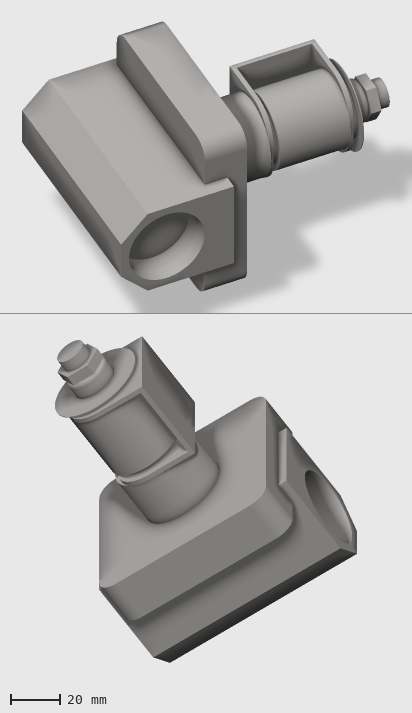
import cadquery as cq


block_length = 92.0
block_left = -44.9
block_height = 41.3
block_depth = 50.8
block_chamfer = 12.0
port_radius = 17.0
port_center_y = 20.5
port_depth = 14.0
flange_size = 82.0
flange_corner_radius = 8.0
flange_front = 40.7
flange_back = 59.7
neck_radius = 18.2
neck_end = 81.7

neck_gap = 0.4
bracket_start = neck_end + neck_gap
bracket_end = 120.2
bracket_thickness = 2.1
bracket_left = -21.4
bracket_right = 15.2
bracket_half_height = 19.7
bracket_corner_radius = bracket_right
coil_radius = 17.0
coil_start = 86.3
coil_end = bracket_end - bracket_thickness
collar_radius = 14.5
washer_radius = 19.7
washer_start = 122.4
washer_thickness = 0.4
boss_start = washer_start + washer_thickness
boss_radius = 9.5
boss_fillet = 2.3
nut_start = 130.8
nut_end = 135.5
nut_across_corners = 19.7
tip_radius = 6.3
tip_end = 140.8


def plane_at(y):
    """Plane facing +Y, with local x along X and local y along -Z."""
    return cq.Workplane("XZ", origin=(0, y, 0)).transformed(rotate=(180, 0, 0))


def disc(radius, start, end):
    return plane_at(start).circle(radius).extrude(end - start)


def make_block():
    block = cq.Workplane("XY").box(
        block_length, block_depth, block_height, centered=(False, False, True)
    ).translate((block_left, 0, 0))
    return block.faces("<Y").edges("|X").chamfer(block_chamfer)


def make_port(outer_x, direction):
    """Blind cylinder cut inward from one end of the block."""
    return cq.Workplane("YZ", origin=(outer_x, 0, 0)).center(port_center_y, 0).circle(
        port_radius
    ).extrude(direction * port_depth)


def make_flange():
    flange = plane_at(flange_front).rect(flange_size, flange_size).extrude(flange_back - flange_front)
    return flange.edges("|Y").fillet(flange_corner_radius)


def make_valve():
    valve = make_block().union(make_flange())
    valve = valve.union(disc(neck_radius, flange_back, neck_end))
    valve = valve.cut(make_port(block_left, 1))
    return valve.cut(make_port(block_left + block_length, -1))


def make_bracket():
    """U-shaped strap whose legs have corners rounded from the axis to the free end."""
    width = bracket_right - bracket_left
    envelope = (
        plane_at(bracket_start)
        .center(bracket_left + width / 2, 0)
        .rect(width, 2 * bracket_half_height)
        .extrude(bracket_end - bracket_start)
    )
    envelope = envelope.faces(">X").edges("|Y").fillet(bracket_corner_radius)
    opening = cq.Workplane("XY").box(
        width,
        bracket_end - bracket_start - 2 * bracket_thickness,
        2 * bracket_half_height,
        centered=(False, False, True),
    ).translate((bracket_left + bracket_thickness, bracket_start + bracket_thickness, 0))
    return envelope.cut(opening)


def make_boss():
    return disc(boss_radius, boss_start, nut_start).faces(">Y").edges().fillet(boss_fillet)


def make_nut():
    return plane_at(nut_start).polygon(6, nut_across_corners).extrude(nut_end - nut_start)


def make_solenoid():
    solenoid = make_bracket()
    solenoid = solenoid.union(disc(collar_radius, bracket_start + bracket_thickness, coil_start))
    solenoid = solenoid.union(disc(coil_radius, coil_start, coil_end))
    solenoid = solenoid.union(disc(collar_radius, bracket_end, washer_start))
    solenoid = solenoid.union(disc(washer_radius, washer_start, boss_start))
    solenoid = solenoid.union(make_boss())
    solenoid = solenoid.union(make_nut())
    return solenoid.union(disc(tip_radius, nut_end, tip_end))


valve = make_valve()
solenoid = make_solenoid()
result = cq.Compound.makeCompound([valve.val(), solenoid.val()])